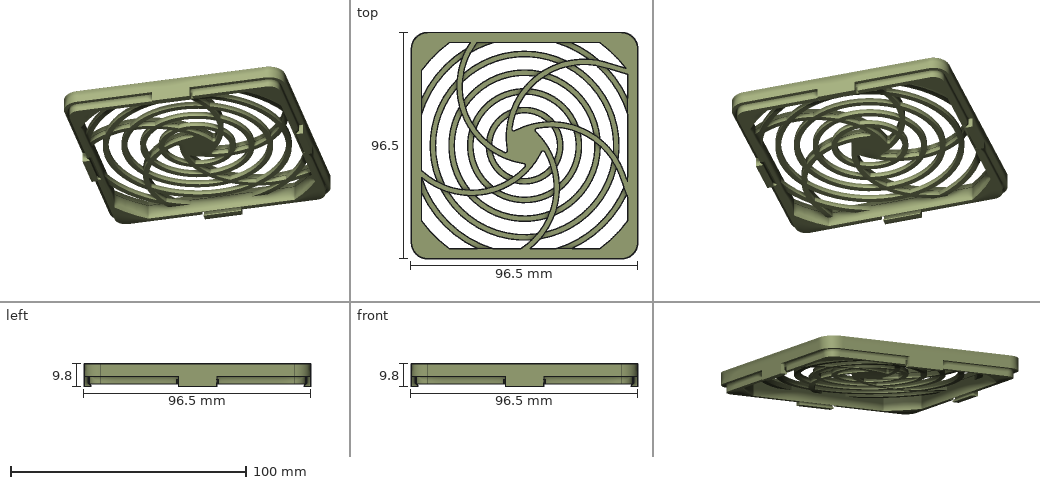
import cadquery as cq
import math

side = 96.5
total_height = 9.8
corner_radius = 7.0
top_edge_chamfer = 0.2

plate_thickness = 2.0
cover_height = 5.5
skirt_wall = 1.7
clip_count = 4
clip_width = 16.4
hook_reach = 1.3
hook_lip_height = 0.4

frame_gap = 0.5
frame_top_gap = 0.2
frame_bottom_z = 1.2
recess_width = 17.8
recess_height = 1.9

opening_side = 87.6
opening_radius = 54.2

spoke_count = 5
spoke_radius = 32.0
spoke_width = 2.3
arm_sweep = 115.0
short_sweep = 96.0
straight_arm = 0
spoke_centre_x = 11.3
spoke_centre_y = -23.0
hub_corner_fillet = 0.8
ring_count = 5
ring_width = 2.4
ring_thickness = 2.0
first_ring_radius = 15.15
last_ring_radius = 47.0

plate_bottom_z = total_height - plate_thickness
skirt_bottom_z = total_height - cover_height
cavity_side = side - 2 * skirt_wall
cavity_radius = corner_radius - skirt_wall
frame_side = cavity_side - 2 * frame_gap
frame_radius = cavity_radius - frame_gap
frame_top_z = plate_bottom_z - frame_top_gap
grille_bottom_z = frame_top_z - ring_thickness
ring_pitch = (last_ring_radius - first_ring_radius) / (ring_count - 1)
spoke_outer_radius = spoke_radius + spoke_width / 2
spoke_inner_radius = spoke_radius - spoke_width / 2
spoke_centre_distance = math.hypot(spoke_centre_x, spoke_centre_y)
spoke_centre_angle = math.degrees(math.atan2(spoke_centre_y, spoke_centre_x))
hub_apothem = spoke_radius - spoke_centre_distance
hub_diameter = 2 * hub_apothem / math.cos(math.pi / spoke_count)
hub_corner_limit = 1.6 * hub_apothem
lead_in = hub_apothem / 2
tangent_tolerance = 0.1


def level(z):
    """New horizontal workplane at height z."""
    return cq.Workplane("XY").workplane(offset=z)


def rounded_block(width, radius, bottom_z, top_z):
    """Square block with rounded vertical edges."""
    block = level(bottom_z).rect(width, width).extrude(top_z - bottom_z)
    return block.edges("|Z").fillet(radius)


def air_opening(bottom_z, top_z):
    """Volume of the air opening between two heights."""
    height = top_z - bottom_z
    square = level(bottom_z).rect(opening_side, opening_side).extrude(height)
    disc = level(bottom_z).circle(opening_radius).extrude(height)
    return square.intersect(disc)


def around(shape, count):
    """Copies of a shape turned evenly about the Z axis."""
    return [shape.rotate((0, 0, 0), (0, 0, 1), i * 360 / count) for i in range(count)]


def spoke(bottom_z, top_z, sweep_angle):
    """Band with a short straight start, an arc centred on the +X axis and a straight run-out."""
    sweep = math.radians(sweep_angle)

    def arc_point(radius, angle):
        return spoke_centre_distance - radius * math.cos(angle), radius * math.sin(angle)

    def run_out(point):
        return point[0] + side / 2 * math.sin(sweep), point[1] + side / 2 * math.cos(sweep)

    inner_start = arc_point(spoke_inner_radius, 0)
    outer_start = arc_point(spoke_outer_radius, 0)
    inner_end = arc_point(spoke_inner_radius, sweep)
    outer_end = arc_point(spoke_outer_radius, sweep)
    return (
        level(bottom_z)
        .moveTo(inner_start[0], -lead_in)
        .lineTo(*inner_start)
        .threePointArc(arc_point(spoke_inner_radius, sweep / 2), inner_end)
        .lineTo(*run_out(inner_end))
        .lineTo(*run_out(outer_end))
        .lineTo(*outer_end)
        .threePointArc(arc_point(spoke_outer_radius, sweep / 2), outer_start)
        .lineTo(outer_start[0], -lead_in)
        .close()
        .extrude(top_z - bottom_z)
    )


def is_hub_corner(edge):
    """True for the sharp inner corners between a spoke and the hub, not the tangent joins."""
    distance = math.hypot(edge.Center().x, edge.Center().y)
    tangent_distance = hub_apothem + spoke_width / 2
    return distance < hub_corner_limit and abs(distance - tangent_distance) > tangent_tolerance


def spiral(bottom_z, top_z):
    """Hub with its curved spokes, trimmed to the air opening."""
    body = level(bottom_z).polygon(spoke_count, hub_diameter).extrude(top_z - bottom_z)
    arms = around(spoke(bottom_z, top_z, arm_sweep), spoke_count)
    arms[straight_arm] = around(spoke(bottom_z, top_z, short_sweep), spoke_count)[straight_arm]
    for arm in arms:
        body = body.union(arm)
    body = body.edges("|Z").filter(is_hub_corner).fillet(hub_corner_fillet)
    body = body.rotate((0, 0, 0), (0, 0, 1), spoke_centre_angle)
    return body.intersect(air_opening(bottom_z, top_z))


def rings(bottom_z, top_z):
    """Concentric rings, trimmed to the air opening."""
    body = cq.Workplane("XY")
    for i in range(ring_count):
        radius = first_ring_radius + i * ring_pitch
        ring = level(bottom_z).circle(radius + ring_width / 2).circle(radius - ring_width / 2)
        body = body.add(ring.extrude(top_z - bottom_z))
    return body.combine().intersect(air_opening(bottom_z, top_z))


def clip():
    """Snap clip that continues the skirt down on the +X side and hooks inward."""
    wall_x = side / 2
    inner_x = wall_x - skirt_wall
    tip_x = inner_x - hook_reach
    return (
        cq.Workplane("XZ", origin=(0, clip_width / 2, 0))
        .moveTo(wall_x, 0)
        .lineTo(wall_x, skirt_bottom_z)
        .lineTo(inner_x, skirt_bottom_z)
        .lineTo(inner_x, hook_lip_height + hook_reach)
        .lineTo(tip_x, hook_lip_height)
        .lineTo(tip_x, 0)
        .close()
        .extrude(clip_width)
    )


def recess():
    """Wedge cut from the frame's lower +X edge to clear a clip's hook."""
    outer_x = frame_side / 2
    return (
        cq.Workplane("XZ", origin=(0, recess_width / 2, 0))
        .moveTo(outer_x, frame_bottom_z)
        .lineTo(outer_x, frame_bottom_z + recess_height)
        .lineTo(outer_x - recess_height, frame_bottom_z)
        .close()
        .extrude(recess_width)
    )


def make_cover():
    """Plate with skirt, clips and the upper spiral grille."""
    body = rounded_block(side, corner_radius, skirt_bottom_z, total_height)
    body = body.faces(">Z").edges().chamfer(top_edge_chamfer)
    body = body.cut(rounded_block(cavity_side, cavity_radius, skirt_bottom_z, plate_bottom_z))
    body = body.cut(air_opening(plate_bottom_z, total_height))
    for part in around(clip(), clip_count):
        body = body.union(part)
    return body.union(spiral(plate_bottom_z, total_height))


def make_frame():
    """Retainer frame with hook recesses, the lower spiral grille and the rings."""
    body = rounded_block(frame_side, frame_radius, frame_bottom_z, frame_top_z)
    body = body.cut(air_opening(frame_bottom_z, frame_top_z))
    for wedge in around(recess(), clip_count):
        body = body.cut(wedge)
    grille = spiral(grille_bottom_z, frame_top_z).union(rings(grille_bottom_z, frame_top_z))
    return body.union(grille)


cover = make_cover()
frame = make_frame()
result = cq.Compound.makeCompound([cover.val(), frame.val()])